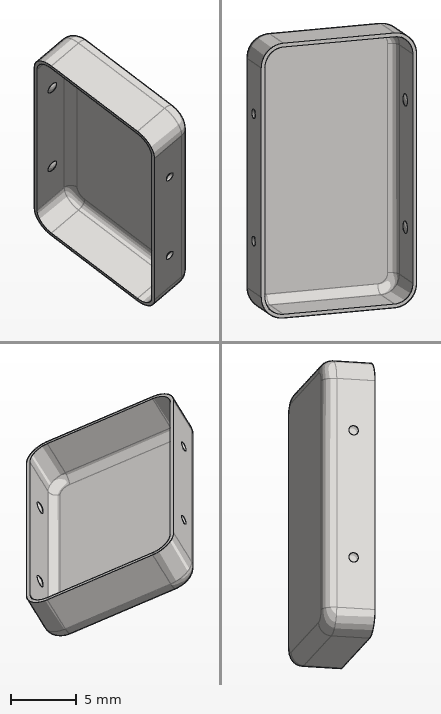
import cadquery as cq

width = 12.6
depth = 4.0
height = 21.6
wall = 0.3
corner_radius = 1.8
back_edge_radius = 1.0

detent_spacing = 10.0
detent_from_rim = 1.68
dimple_radius = 0.37
dimple_depth = 0.17
bump_radius = 0.48
bump_height = 0.15

rim_y = -depth / 2


def rounded_block(inset, block_depth):
    """Block reaching back from the rim, inset evenly from the outer outline."""
    return (
        cq.Workplane("XZ", origin=(0, rim_y, 0))
        .rect(width - 2 * inset, height - 2 * inset)
        .extrude(-block_depth)
        .edges("|Y")
        .fillet(corner_radius - inset)
        .faces(">Y")
        .edges()
        .fillet(back_edge_radius - inset)
    )


def spherical_cap(side, face_x, base_radius, rise, z):
    """Ball whose cap rises inward from a side wall face; side is -1 or 1."""
    ball_radius = (base_radius**2 + rise**2) / (2 * rise)
    center_x = side * (face_x + ball_radius - rise)
    center = (center_x, rim_y + detent_from_rim, z)
    return cq.Workplane("XY").sphere(ball_radius, direct=(1, 0, 0)).translate(center)


outer = rounded_block(0, depth)
cavity = rounded_block(wall, depth - wall)

for side in (-1, 1):
    for z in (-detent_spacing / 2, detent_spacing / 2):
        cavity = cavity.cut(spherical_cap(side, width / 2 - wall, bump_radius, bump_height, z))
        outer = outer.cut(spherical_cap(side, width / 2, dimple_radius, dimple_depth, z))

result = outer.cut(cavity)